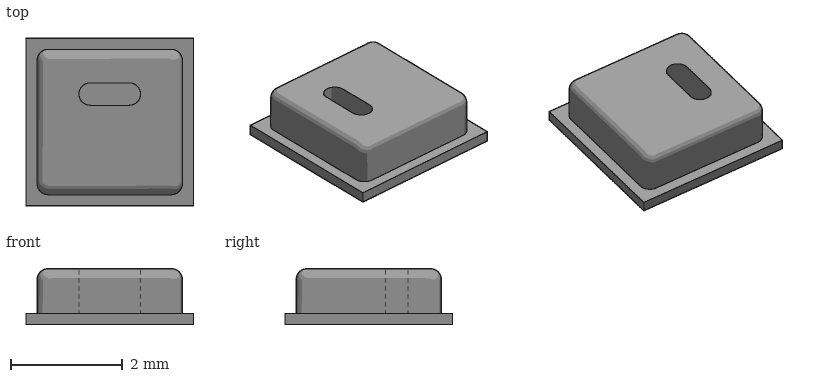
import cadquery as cq

plate_side = 3.0
plate_thickness = 0.2

lid_margin = 0.2
lid_side = plate_side - 2 * lid_margin
lid_height = 0.8
lid_edge_radius = 0.2

slot_length = 1.1
slot_width = 0.4
slot_offset_y = 0.5


def make_plate():
    """Square plate with its underside at Z = 0."""
    return cq.Workplane("XY").rect(plate_side, plate_side).extrude(plate_thickness)


def make_lid():
    """Rounded block standing on the plate, with a slot open down to the plate."""
    block = (
        cq.Workplane("XY", origin=(0, 0, plate_thickness))
        .rect(lid_side, lid_side)
        .extrude(lid_height)
        .edges("|Z or >Z")
        .fillet(lid_edge_radius)
    )
    slot = (
        cq.Workplane("XY", origin=(0, slot_offset_y, plate_thickness))
        .slot2D(slot_length, slot_width)
        .extrude(lid_height)
    )
    return block.cut(slot)


plate = make_plate()
lid = make_lid()

result = cq.Compound.makeCompound([plate.val(), lid.val()])